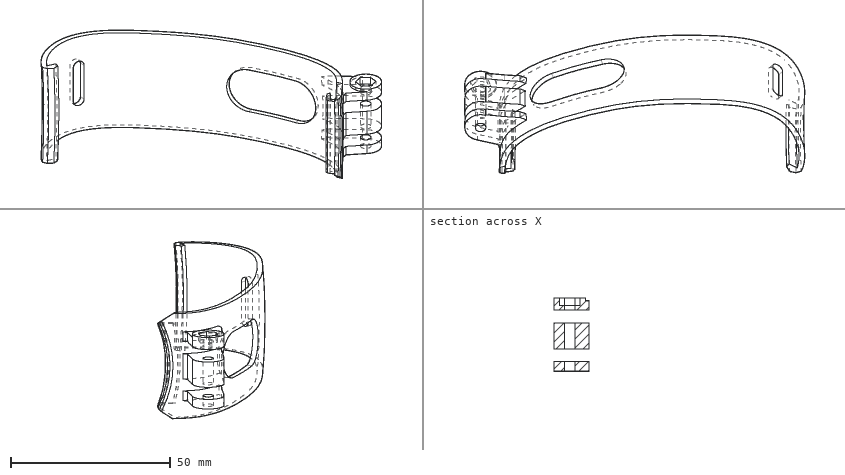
import cadquery as cq
import math

LENGTH = 99.9
DEPTH = 50.9
HEIGHT = 34.0
WALL = 1.8
BOW_OUT = 0.8
BOW_IN = 2.4
BOW_END = 7.0
BOW_IN_START = 64.9

OUTER = [
    (3.2, 1.2), (0, 12.0), (2.4, 22.1), (7.2, 27.9), (21.7, 36.0), (43.4, 42.9),
    (64.9, 45.0), (77.0, 44.1), (84.2, 42.0), (89.1, 39.0), (93.1, 33.2), (94.8, 28.8),
]
LEFT_HOOK = [(5.0, 1.7), (6.9, 4.0), (8.0, 3.2), (7.7, 1.1), (6.0, 0), (4.3, 0)]
RIGHT_HOOK = [(94.8, 27.8), (94.5, 27.1), (93.5, 26.5), (91.1, 26.5), (90.3, 27.1),
              (89.0, 30.6), (89.6, 31.4), (90.1, 30.8), (91.4, 27.7), (93.1, 27.8)]

LIP_HALF = 13.0
TRIM_TOP_Y = 33.2
TRIM_LOW_Y = 27.5
LIP_LEFT_X = 86.9
LIP_RIGHT_X = 89.9
LIP_TOP_Y = 35.0
LIP_CORNER_X = 92.9
LIP_CORNER_Y = 29.0
LIP_LOW_Y = 25.0
TRIM_LEFT_X = 90.8

WINDOW_LEFT = 47.6
WINDOW_RIGHT = 78.8
WINDOW_HEIGHT = 14.9

STRAP_X = 2.7
STRAP_Y = 24.6
STRAP_ANGLE = -24.0
STRAP_LENGTH = 15.8
STRAP_WIDTH = 3.7
STRAP_CUT = 8.0

PIN_RADIUS = 5.0
PIN_X = LENGTH - PIN_RADIUS
PIN_Y = DEPTH - PIN_RADIUS
PIN_HOLE = 3.3
KNUCKLES = [(-11.1, -8.0), (-4.1, 4.1), (8.1, 11.1)]
RIM_HEIGHT = 0.9
NUT_CORNERS = 6.4
NUT_DEPTH = 2.4
ARM = [(91.7, 50.0), (86.4, 47.4), (81.9, 45.4), (79.9, 43.5), (79.9, 39.0),
       (88.9, 34.0), (92.0, 36.3), (92.0, 37.8), (97.5, 41.6), (PIN_X, PIN_Y)]

HALF = HEIGHT / 2


def inward_curve(offset):
    """Offset the outer curve toward the inside, leaving out its ends."""
    points = []
    for before, point, after in zip(OUTER, OUTER[1:], OUTER[2:]):
        into, out_of = math.dist(before, point), math.dist(point, after)
        tx = (point[0] - before[0]) * out_of / into + (after[0] - point[0]) * into / out_of
        ty = (point[1] - before[1]) * out_of / into + (after[1] - point[1]) * into / out_of
        size = math.hypot(tx, ty)
        points.append((point[0] + offset * ty / size, point[1] - offset * tx / size))
    return points


INNER = [LEFT_HOOK[0]] + inward_curve(WALL) + [RIGHT_HOOK[-1]]


def bowed(points, z, amount):
    """Place plan points at height z, shifted by a fraction of the bow."""
    placed = []
    for x, y in points:
        along = max(0, x - BOW_IN_START) / (LENGTH - BOW_IN_START)
        shift_x = -BOW_IN * along ** 2
        shift_y = BOW_OUT + BOW_END * along ** 4
        placed.append(cq.Vector(x + amount * shift_x, y + amount * shift_y, z))
    return placed


def chain(points):
    return [cq.Edge.makeLine(a, b) for a, b in zip(points, points[1:])]


def band_section(z, amount):
    outer = bowed(OUTER, z, amount)
    right = bowed([OUTER[-1]] + RIGHT_HOOK, z, amount)
    inner = bowed(INNER[::-1], z, amount)
    left = bowed(LEFT_HOOK + [OUTER[0]], z, amount)
    edges = [cq.Edge.makeSpline(outer)] + chain(right) + [cq.Edge.makeSpline(inner)] + chain(left)
    return cq.Wire.assembleEdges(edges)


def cavity_section(z, amount):
    """Region enclosed by the middle of the wall, where the hinge arms stop."""
    middle = bowed(inward_curve(WALL / 2), z, amount)
    corner = cq.Vector(PIN_X, 0, z)
    return cq.Wire.assembleEdges([cq.Edge.makeSpline(middle)] + chain([middle[-1], corner, middle[0]]))


def loft(section):
    wires = [section(-HALF, 0), section(0, 1), section(HALF, 0)]
    return cq.Workplane(cq.Solid.makeLoft(wires))


def end_trims():
    """Material removed from the upper and lower corners of the right hook."""
    span = LENGTH - LIP_LEFT_X
    slope = (
        cq.Workplane("YZ", origin=(TRIM_LEFT_X, 0, 0))
        .polyline([(TRIM_TOP_Y, HALF), (TRIM_LOW_Y, LIP_HALF), (0, LIP_HALF), (0, HALF)])
        .close()
        .extrude(span)
    )
    lip = (
        cq.Workplane("XY", origin=(0, 0, LIP_HALF))
        .polyline([(LIP_LEFT_X, LIP_TOP_Y), (LIP_RIGHT_X, LIP_TOP_Y), (LIP_CORNER_X, LIP_CORNER_Y),
                   (LIP_CORNER_X, LIP_LOW_Y), (LIP_LEFT_X, LIP_LOW_Y)])
        .close()
        .extrude(HALF - LIP_HALF)
    )
    upper = slope.union(lip)
    return upper.union(upper.mirror("XY"))


def window():
    return (
        cq.Workplane("XZ")
        .center((WINDOW_LEFT + WINDOW_RIGHT) / 2, 0)
        .slot2D(WINDOW_RIGHT - WINDOW_LEFT, WINDOW_HEIGHT)
        .extrude(-DEPTH)
    )


def strap_slot():
    angle = math.radians(STRAP_ANGLE)
    plane = cq.Plane(
        origin=(STRAP_X, STRAP_Y, 0),
        xDir=(0, 0, 1),
        normal=(math.cos(angle), math.sin(angle), 0),
    )
    return cq.Workplane(plane).slot2D(STRAP_LENGTH, STRAP_WIDTH).extrude(STRAP_CUT / 2, both=True)


def disc(low, high, radius):
    return cq.Workplane("XY", origin=(PIN_X, PIN_Y, low)).circle(radius).extrude(high - low)


def hinge():
    top = KNUCKLES[-1][1]
    knuckles = disc(top, top + RIM_HEIGHT, PIN_RADIUS)
    for low, high in KNUCKLES:
        arm = cq.Workplane("XY", origin=(0, 0, low)).polyline(ARM).close().extrude(high - low)
        knuckles = knuckles.union(arm).union(disc(low, high, PIN_RADIUS))
    return knuckles.cut(loft(cavity_section))


def pin_cutters():
    rim_top = KNUCKLES[-1][1] + RIM_HEIGHT
    nut = (
        cq.Workplane("XY", origin=(PIN_X, PIN_Y, rim_top - NUT_DEPTH))
        .transformed(rotate=(0, 0, 30))
        .polygon(6, NUT_CORNERS)
        .extrude(NUT_DEPTH)
    )
    return disc(-HALF, HALF, PIN_HOLE / 2).union(nut)


band = loft(band_section).cut(end_trims()).cut(window()).cut(strap_slot())
result = band.union(hinge()).cut(pin_cutters())